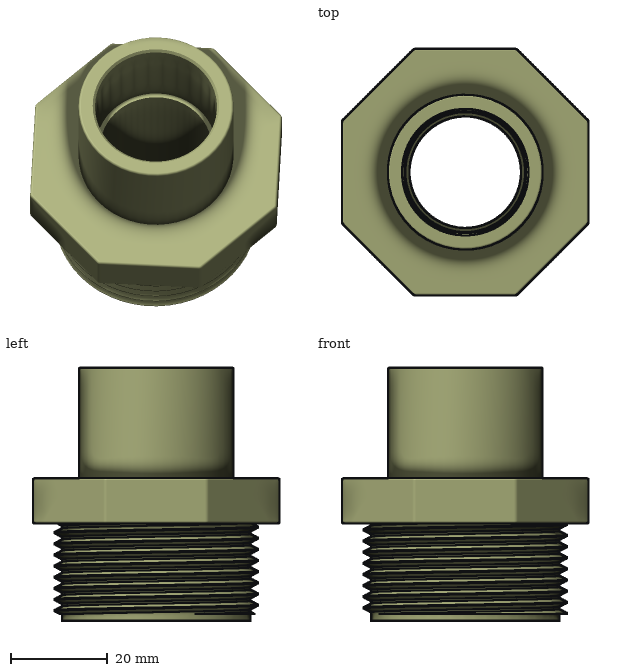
import cadquery as cq
import math

TOTAL_HEIGHT = 52.3
COLLAR_BOTTOM = 20.1
COLLAR_HEIGHT = 9.35

COLLAR_ACROSS_FLATS = 51.0
COLLAR_SIDES = 8
COLLAR_CORNER_RADIUS = 1.0
EDGE_RADIUS = 0.45

SPIGOT_DIAMETER = 32.0

THREAD_ROOT_DIAMETER = 38.95
THREAD_CREST_DIAMETER = 41.95
THREAD_PITCH = 2.3
THREAD_CREST_WIDTH = 0.2
THREAD_ROOT_WIDTH = 0.5
THREAD_START = 1.5
THREAD_OVERLAP = 0.15

BORE_DIAMETER = 23.0
SOCKET_DEPTH = 19.0
SOCKET_MOUTH_DIAMETER = 25.2
SOCKET_FLOOR_DIAMETER = 24.8
MOUTH_CHAMFER = 0.45


def make_collar():
    """Octagonal collar with its flats facing the X and Y axes and all edges rounded."""
    return (
        cq.Workplane("XY")
        .workplane(offset=COLLAR_BOTTOM)
        .polygon(COLLAR_SIDES, COLLAR_ACROSS_FLATS, circumscribed=True)
        .extrude(COLLAR_HEIGHT)
        .edges("|Z")
        .fillet(COLLAR_CORNER_RADIUS)
        .faces("<Z or >Z")
        .edges()
        .fillet(EDGE_RADIUS)
    )


def make_spigot():
    """Plain round spigot with a rounded outer rim."""
    return (
        cq.Workplane("XY")
        .workplane(offset=COLLAR_BOTTOM)
        .circle(SPIGOT_DIAMETER / 2)
        .extrude(TOTAL_HEIGHT - COLLAR_BOTTOM)
        .faces(">Z")
        .edges()
        .fillet(EDGE_RADIUS)
    )


def make_thread_core():
    """Cylinder at the thread root, running a little way into the collar."""
    core_height = COLLAR_BOTTOM + COLLAR_HEIGHT / 2
    return cq.Workplane("XY").circle(THREAD_ROOT_DIAMETER / 2).extrude(core_height)


def make_thread_ridge():
    """Right-hand helical ridge, cut flat at its lower end and running out inside the collar."""
    root_radius = THREAD_ROOT_DIAMETER / 2
    crest_radius = THREAD_CREST_DIAMETER / 2
    half_crest = THREAD_CREST_WIDTH / 2
    half_root = (THREAD_PITCH - THREAD_ROOT_WIDTH) / 2
    flank_slope = (half_root - half_crest) / (crest_radius - root_radius)

    inner_radius = root_radius - THREAD_OVERLAP
    half_inner = half_root + flank_slope * THREAD_OVERLAP

    first_turn = THREAD_START - THREAD_PITCH
    turns = math.ceil((COLLAR_BOTTOM - first_turn) / THREAD_PITCH) + 1
    profile = [
        (inner_radius, -half_inner),
        (crest_radius, -half_crest),
        (crest_radius, half_crest),
        (inner_radius, half_inner),
    ]

    def corner_helices(turn):
        """One turn of the helix that each profile corner follows."""
        turn_bottom = first_turn + turn * THREAD_PITCH
        return [
            cq.Wire.makeHelix(THREAD_PITCH, THREAD_PITCH, radius, center=cq.Vector(0, 0, turn_bottom + rise))
            for radius, rise in profile
        ]

    def end_cap(helices, end):
        """Flat face across the profile at the start (0) or finish (1) of a turn."""
        corners = [helix.positionAt(end) for helix in helices]
        return cq.Face.makeFromWires(cq.Wire.makePolygon(corners, close=True))

    faces = [end_cap(corner_helices(0), 0), end_cap(corner_helices(turns - 1), 1)]
    for turn in range(turns):
        helices = corner_helices(turn)
        for i in range(len(helices)):
            faces += cq.Face.makeRuledSurface(helices[i - 1], helices[i]).Faces()
    ridge = cq.Solid.makeSolid(cq.Shell.makeShell(faces))

    ridge_bottom = THREAD_START - half_crest
    below_thread = (
        cq.Workplane("XY")
        .workplane(offset=ridge_bottom)
        .rect(2 * THREAD_CREST_DIAMETER, 2 * THREAD_CREST_DIAMETER)
        .extrude(-2 * THREAD_PITCH)
    )
    return cq.Workplane(ridge).cut(below_thread)


def make_bore():
    """Revolved cutter: through bore, tapered socket and chamfered mouth."""
    mouth_radius = SOCKET_MOUTH_DIAMETER / 2
    socket_floor = TOTAL_HEIGHT - SOCKET_DEPTH
    return (
        cq.Workplane("XZ")
        .moveTo(0, 0)
        .lineTo(BORE_DIAMETER / 2, 0)
        .lineTo(BORE_DIAMETER / 2, socket_floor)
        .lineTo(SOCKET_FLOOR_DIAMETER / 2, socket_floor)
        .lineTo(mouth_radius, TOTAL_HEIGHT - MOUTH_CHAMFER)
        .lineTo(mouth_radius + MOUTH_CHAMFER, TOTAL_HEIGHT)
        .lineTo(0, TOTAL_HEIGHT)
        .close()
        .revolve(360, (0, 0, 0), (0, 1, 0))
    )


threaded_end = make_thread_core().union(make_thread_ridge())
body = make_collar().union(make_spigot()).union(threaded_end).cut(make_bore())
result = cq.Workplane(body.solids().val())